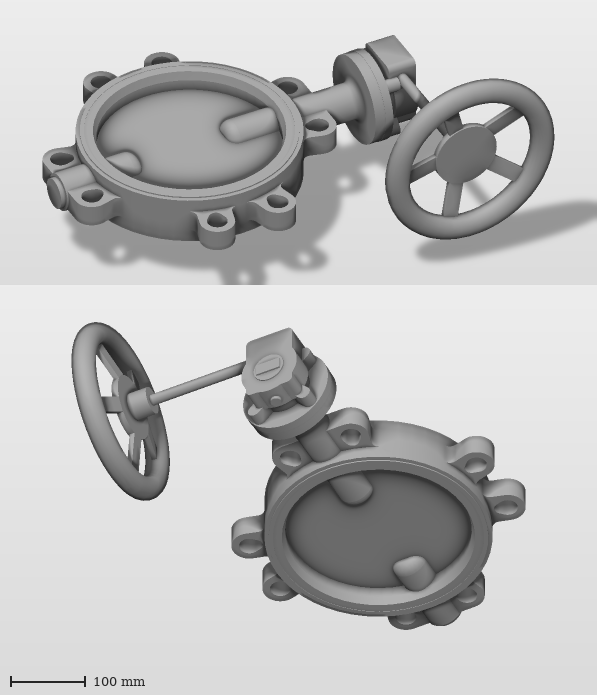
import cadquery as cq
import math


RING_RADIUS = 152.0
RING_HALF_HEIGHT = 34.0
LIP_RADIUS = 146.5
LIP_HEIGHT = 2.0
SEAT_RADIUS = 141.0
SEAT_DEPTH = 0.5
BORE_RADIUS = 124.5
BORE_MOUTH_RADIUS = 129.0
BORE_HALF_HEIGHT = 23.0

LIP_Z = RING_HALF_HEIGHT + LIP_HEIGHT
SEAT_Z = LIP_Z - SEAT_DEPTH

STEM_EAR_ANGLE = 75
SIDE_EAR_ANGLE = 90 - STEM_EAR_ANGLE
BOLT_CIRCLE_RADIUS = 176.0
EAR_RADIUS = 24.0
EAR_THICKNESS = 31.0
EAR_FILLET = 11.0
HOLE_RADIUS = 14.0
HOLE_TIP_RADIUS = 9.5
HOLE_TIP_OFFSET = 9.0

NECK_RADIUS = 26.0
NECK_FILLET = 8.0
FLANGE_RADIUS = 63.0
FLANGE_START = 246.5
JOINT_Y = 261.5
STUB_RADIUS = 26.5
STUB_END = -196.0
CAP_RADIUS = 21.5
CAP_END = -203.0

DISC_HALF_THICKNESS = 7.5
BOSS_RADIUS = 25.0
BOSS_END_FILLET = 15.0
UPPER_BOSS_END = 51.0
LOWER_BOSS_END = -77.5

OPERATOR_FLANGE_RADIUS = 63.5
OPERATOR_FLANGE_END = 273.0
HUB_RADIUS = 36.5
GEARCASE_START = 288.0
GEARCASE_END = 321.5
GEARCASE_RADIUS = 41.5
BOX_HALF_WIDTH = 34.5
BOX_BOTTOM = -38.0
BOX_TOP = 63.0
BOX_CORNER_RADIUS = 8.0
WORM_BOX_START = 281.0
WORM_BOX_BOTTOM = 19.0
LUG_RADIUS = 9.5
LUG_CIRCLE_RADIUS = 52.0
LUG_COUNT = 4
LUG_END = 292.5
COVER_RADIUS = 22.0
COVER_THICKNESS = 2.0
POINTER_LENGTH = 35.0
POINTER_WIDTH = 17.0
POINTER_HEIGHT = 2.5
PLUG_RADIUS = 7.5
PLUG_BOTTOM = -46.0

SHAFT_Y = 300.5
SHAFT_Z = 41.0
SHAFT_RADIUS = 7.5
WHEEL_DIAMETER = 250.0
RIM_RADIUS = 16.5
RIM_X = 233.0
WHEEL_BOSS_START = 185.5
WHEEL_BOSS_RADIUS = 19.0
WEB_START = 214.0
WEB_END = 223.0
WEB_RADIUS = 45.0
SPOKE_COUNT = 5
SPOKE_WIDTH = 21.5
SPOKE_RIM_X = 229.5
SPOKE_THICKNESS = 7.5

Y_AXIS = cq.Vector(0, 1, 0)
X_AXIS = cq.Vector(1, 0, 0)


def y_cylinder(radius, start, end, x=0):
    """Cylinder parallel to Y, at height z = 0, from y = start to y = end."""
    return cq.Workplane(cq.Solid.makeCylinder(radius, end - start, cq.Vector(x, start, 0), Y_AXIS))


def shaft_cylinder(radius, start, end):
    """Cylinder on the hand-wheel shaft axis from x = start to x = end."""
    return cq.Workplane(
        cq.Solid.makeCylinder(radius, end - start, cq.Vector(start, SHAFT_Y, SHAFT_Z), X_AXIS)
    )


def block(x_range, y_range, z_range):
    """Axis-aligned box between the given limits."""
    size = [high - low for low, high in (x_range, y_range, z_range)]
    return cq.Workplane("XY").box(*size, centered=False).translate((x_range[0], y_range[0], z_range[0]))


def ring():
    """Solid housing ring with a raised lip and a shallow seat on both faces."""
    half_profile = [
        (SEAT_RADIUS, SEAT_Z), (SEAT_RADIUS, LIP_Z), (LIP_RADIUS, LIP_Z),
        (LIP_RADIUS, RING_HALF_HEIGHT), (RING_RADIUS, RING_HALF_HEIGHT),
    ]
    mirrored = [(radius, -z) for radius, z in reversed(half_profile)]
    profile = [(0, SEAT_Z)] + half_profile + mirrored + [(0, -SEAT_Z)]
    return cq.Workplane("XZ").polyline(profile).close().revolve(360, (0, 0), (0, 1))


def bore():
    """Cutter for the bore, straight in the middle and widening to both faces."""
    profile = [
        (0, SEAT_Z), (BORE_MOUTH_RADIUS, SEAT_Z), (BORE_RADIUS, BORE_HALF_HEIGHT),
        (BORE_RADIUS, -BORE_HALF_HEIGHT), (BORE_MOUTH_RADIUS, -SEAT_Z), (0, -SEAT_Z),
    ]
    return cq.Workplane("XZ").polyline(profile).close().revolve(360, (0, 0), (0, 1))


def ear_plan():
    """Ear on the +X axis: a rounded tongue with fillets that run tangent into the ring."""
    center_x = math.sqrt((RING_RADIUS + EAR_FILLET) ** 2 - (EAR_RADIUS + EAR_FILLET) ** 2)
    center_y = EAR_RADIUS + EAR_FILLET
    to_ring = RING_RADIUS / (RING_RADIUS + EAR_FILLET)
    ring_x = center_x * to_ring
    ring_y = center_y * to_ring
    bisector = (math.atan2(-center_y, -center_x) - math.pi / 2) / 2
    mid_x = center_x + EAR_FILLET * math.cos(bisector)
    mid_y = center_y + EAR_FILLET * math.sin(bisector)
    return (
        cq.Workplane("XY")
        .moveTo(BORE_MOUTH_RADIUS, -ring_y)
        .lineTo(ring_x, -ring_y)
        .threePointArc((mid_x, -mid_y), (center_x, -EAR_RADIUS))
        .lineTo(BOLT_CIRCLE_RADIUS, -EAR_RADIUS)
        .threePointArc((BOLT_CIRCLE_RADIUS + EAR_RADIUS, 0), (BOLT_CIRCLE_RADIUS, EAR_RADIUS))
        .lineTo(center_x, EAR_RADIUS)
        .threePointArc((mid_x, mid_y), (ring_x, ring_y))
        .lineTo(BORE_MOUTH_RADIUS, ring_y)
        .close()
    )


def ear_hole_plan():
    """Teardrop hole: a large and a small circle joined by their common tangents."""
    tip_x = BOLT_CIRCLE_RADIUS - HOLE_TIP_OFFSET
    taper = math.asin((HOLE_RADIUS - HOLE_TIP_RADIUS) / HOLE_TIP_OFFSET)
    normal_x = -math.sin(taper)
    normal_y = math.cos(taper)
    big = (BOLT_CIRCLE_RADIUS + HOLE_RADIUS * normal_x, HOLE_RADIUS * normal_y)
    small = (tip_x + HOLE_TIP_RADIUS * normal_x, HOLE_TIP_RADIUS * normal_y)
    return (
        cq.Workplane("XY")
        .moveTo(big[0], -big[1])
        .threePointArc((BOLT_CIRCLE_RADIUS + HOLE_RADIUS, 0), big)
        .lineTo(*small)
        .threePointArc((tip_x - HOLE_TIP_RADIUS, 0), (small[0], -small[1]))
        .close()
    )


def at_each_ear(plan):
    """Extrudes a plan to the ear thickness and places a copy at every ear."""
    shape = plan.extrude(EAR_THICKNESS / 2, both=True)
    copies = cq.Workplane("XY")
    for first_angle in (SIDE_EAR_ANGLE, STEM_EAR_ANGLE):
        for angle in (first_angle, 180 - first_angle, 180 + first_angle, -first_angle):
            copies = copies.add(shape.rotate((0, 0, 0), (0, 0, 1), angle))
    return copies.combine()


def ear_bridges():
    """Plates that close the gap between the two ears on each side of the stem."""
    half_width = BOLT_CIRCLE_RADIUS * math.cos(math.radians(STEM_EAR_ANGLE))
    reach = BOLT_CIRCLE_RADIUS * math.sin(math.radians(STEM_EAR_ANGLE)) + EAR_RADIUS
    middle = (reach + BORE_MOUTH_RADIUS) / 2
    return (
        cq.Workplane("XY")
        .pushPoints([(0, middle), (0, -middle)])
        .box(2 * half_width, reach - BORE_MOUTH_RADIUS, EAR_THICKNESS)
    )


def neck():
    """Stem neck flaring with a fillet into the operator flange."""
    fillet_mid = NECK_FILLET * (1 - math.sqrt(0.5))
    return (
        cq.Workplane("XY")
        .moveTo(0, BORE_MOUTH_RADIUS)
        .lineTo(NECK_RADIUS, BORE_MOUTH_RADIUS)
        .lineTo(NECK_RADIUS, FLANGE_START - NECK_FILLET)
        .threePointArc(
            (NECK_RADIUS + fillet_mid, FLANGE_START - fillet_mid),
            (NECK_RADIUS + NECK_FILLET, FLANGE_START),
        )
        .lineTo(FLANGE_RADIUS, FLANGE_START)
        .lineTo(FLANGE_RADIUS, JOINT_Y)
        .lineTo(0, JOINT_Y)
        .close()
        .revolve(360, (0, 0), (0, 1))
    )


def lower_stub():
    """Closed lower end of the stem bore."""
    return y_cylinder(STUB_RADIUS, STUB_END, -BORE_MOUTH_RADIUS).union(
        y_cylinder(CAP_RADIUS, CAP_END, STUB_END)
    )


def disc():
    """Closed valve disc with two round-ended stem bosses."""
    plate = cq.Workplane("XY").circle(BORE_MOUTH_RADIUS).extrude(DISC_HALF_THICKNESS, both=True)
    upper = y_cylinder(BOSS_RADIUS, UPPER_BOSS_END, BORE_MOUTH_RADIUS)
    upper = upper.faces("<Y").edges().fillet(BOSS_END_FILLET)
    lower = y_cylinder(BOSS_RADIUS, -BORE_MOUTH_RADIUS, LOWER_BOSS_END)
    lower = lower.faces(">Y").edges().fillet(BOSS_END_FILLET)
    return plate.union(upper).union(lower)


def make_valve():
    body = ring().union(at_each_ear(ear_plan())).union(ear_bridges())
    body = body.cut(at_each_ear(ear_hole_plan()))
    body = body.union(neck()).union(lower_stub())
    return body.cut(bore()).union(disc())


def gear_case():
    """Round gear case and worm box, with the cover, the pointer and the drain plug."""
    box_x = (-BOX_HALF_WIDTH, BOX_HALF_WIDTH)
    box = block(box_x, (WORM_BOX_START, GEARCASE_END), (BOX_BOTTOM, BOX_TOP))
    box = box.edges("|Y").fillet(BOX_CORNER_RADIUS)
    relief = block(box_x, (WORM_BOX_START, GEARCASE_START), (BOX_BOTTOM, WORM_BOX_BOTTOM))
    case = y_cylinder(GEARCASE_RADIUS, GEARCASE_START, GEARCASE_END).union(box.cut(relief))
    cover_end = GEARCASE_END + COVER_THICKNESS
    pointer = block(
        (-POINTER_LENGTH / 2, POINTER_LENGTH / 2),
        (GEARCASE_END, cover_end + POINTER_HEIGHT),
        (-POINTER_WIDTH / 2, POINTER_WIDTH / 2),
    )
    plug = cq.Workplane("XY", origin=(0, SHAFT_Y, PLUG_BOTTOM)).circle(PLUG_RADIUS).extrude(-PLUG_BOTTOM)
    return case.union(y_cylinder(COVER_RADIUS, GEARCASE_END, cover_end)).union(pointer).union(plug)


def lugs():
    """Four round-ended radial lugs on the operator flange."""
    lug = y_cylinder(LUG_RADIUS, OPERATOR_FLANGE_END, LUG_END, x=LUG_CIRCLE_RADIUS).union(
        block((0, LUG_CIRCLE_RADIUS), (OPERATOR_FLANGE_END, LUG_END), (-LUG_RADIUS, LUG_RADIUS))
    )
    copies = cq.Workplane("XY")
    for index in range(LUG_COUNT):
        copies = copies.add(lug.rotate((0, 0, 0), (0, 1, 0), 360 / LUG_COUNT * (index + 0.5)))
    return copies.combine()


def hand_wheel():
    """Rim, web, leaning spokes and boss of the hand wheel."""
    rim_circle = WHEEL_DIAMETER / 2 - RIM_RADIUS
    center = cq.Vector(RIM_X, SHAFT_Y, SHAFT_Z)
    wheel = cq.Workplane(cq.Solid.makeTorus(rim_circle, RIM_RADIUS, center, X_AXIS))
    wheel = wheel.union(shaft_cylinder(WEB_RADIUS, WEB_START, WEB_END))
    web_y = SHAFT_Y - WEB_RADIUS
    rim_y = SHAFT_Y - rim_circle
    spoke = (
        cq.Workplane("XY", origin=(0, 0, SHAFT_Z))
        .polyline([
            (WEB_START, web_y), (SPOKE_RIM_X, rim_y),
            (SPOKE_RIM_X + SPOKE_THICKNESS, rim_y), (WEB_START + SPOKE_THICKNESS, web_y),
            (WEB_START + SPOKE_THICKNESS, SHAFT_Y), (WEB_START, SHAFT_Y),
        ])
        .close()
        .extrude(SPOKE_WIDTH / 2, both=True)
    )
    for index in range(SPOKE_COUNT):
        angle = 360 / SPOKE_COUNT * index
        wheel = wheel.union(spoke.rotate((0, SHAFT_Y, SHAFT_Z), (1, SHAFT_Y, SHAFT_Z), angle))
    return wheel.union(shaft_cylinder(WHEEL_BOSS_RADIUS, WHEEL_BOSS_START, WEB_START))


def make_operator():
    body = y_cylinder(OPERATOR_FLANGE_RADIUS, JOINT_Y, OPERATOR_FLANGE_END)
    body = body.union(y_cylinder(HUB_RADIUS, OPERATOR_FLANGE_END, GEARCASE_START))
    body = body.union(lugs()).union(gear_case())
    body = body.union(shaft_cylinder(SHAFT_RADIUS, 0, WHEEL_BOSS_START))
    return body.union(hand_wheel())


valve = make_valve()
operator = make_operator()

result = cq.Compound.makeCompound([valve.val(), operator.val()])